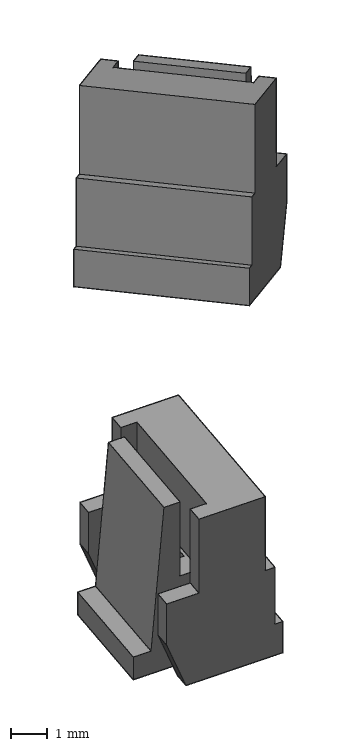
import cadquery as cq

WIDTH = 5.0
DEPTH = 4.15
HEIGHT = 5.7

FOOT_HEIGHT = 1.1
SHOULDER_HEIGHT = 3.1
MIDDLE_FRONT = 0.24
UPPER_FRONT = 0.54
CORE_LOWER_BACK = 2.2
CORE_UPPER_BACK = 2.1

WALL_THICKNESS = 0.5
WALL_UPPER_BACK = 2.6
WALL_LOWER_BACK = 3.6
WALL_SLOPE_TOP = 1.65
WALL_BOTTOM_BACK = 3.0

LATCH_WIDTH = 3.2
LATCH_FRONT = 2.7
LATCH_TOP_BACK = 3.2
LATCH_LOWER_BACK = 3.6
TAB_HEIGHT = 0.8

RIB_WIDTH = 0.7


def extrude_profile(points, x_start, x_size):
    """Extrude a closed (Y, Z) outline along +X."""
    return cq.Workplane("YZ").workplane(offset=x_start).polyline(points).close().extrude(x_size)


def stepped_profile(back_points):
    """Outline with the common stepped front; back_points run from the top down to the base."""
    front_points = [
        (0, 0),
        (0, FOOT_HEIGHT),
        (MIDDLE_FRONT, FOOT_HEIGHT),
        (MIDDLE_FRONT, SHOULDER_HEIGHT),
        (UPPER_FRONT, SHOULDER_HEIGHT),
        (UPPER_FRONT, HEIGHT),
    ]
    return front_points + back_points


def make_core():
    back_points = [
        (CORE_UPPER_BACK, HEIGHT),
        (CORE_UPPER_BACK, SHOULDER_HEIGHT),
        (CORE_LOWER_BACK, SHOULDER_HEIGHT),
        (CORE_LOWER_BACK, 0),
    ]
    return extrude_profile(stepped_profile(back_points), -WIDTH / 2, WIDTH)


def make_side_wall(x_start):
    back_points = [
        (WALL_UPPER_BACK, HEIGHT),
        (WALL_UPPER_BACK, SHOULDER_HEIGHT),
        (WALL_LOWER_BACK, SHOULDER_HEIGHT),
        (WALL_LOWER_BACK, WALL_SLOPE_TOP),
        (WALL_BOTTOM_BACK, 0),
    ]
    return extrude_profile(stepped_profile(back_points), x_start, WALL_THICKNESS)


def make_latch():
    outline = [
        (LATCH_FRONT, 0),
        (LATCH_FRONT, HEIGHT),
        (LATCH_TOP_BACK, HEIGHT),
        (LATCH_LOWER_BACK, TAB_HEIGHT),
        (DEPTH, TAB_HEIGHT),
        (DEPTH, 0),
    ]
    return extrude_profile(outline, -LATCH_WIDTH / 2, LATCH_WIDTH)


def make_rib(x_start):
    rib_depth = LATCH_FRONT - CORE_LOWER_BACK
    rib = cq.Workplane("XY").box(RIB_WIDTH, rib_depth, SHOULDER_HEIGHT, centered=False)
    return rib.translate((x_start, CORE_LOWER_BACK, 0))


result = make_core()
for wall_start in (-WIDTH / 2, WIDTH / 2 - WALL_THICKNESS):
    result = result.union(make_side_wall(wall_start))
for rib_start in (-LATCH_WIDTH / 2, LATCH_WIDTH / 2 - RIB_WIDTH):
    result = result.union(make_rib(rib_start))
result = result.union(make_latch())